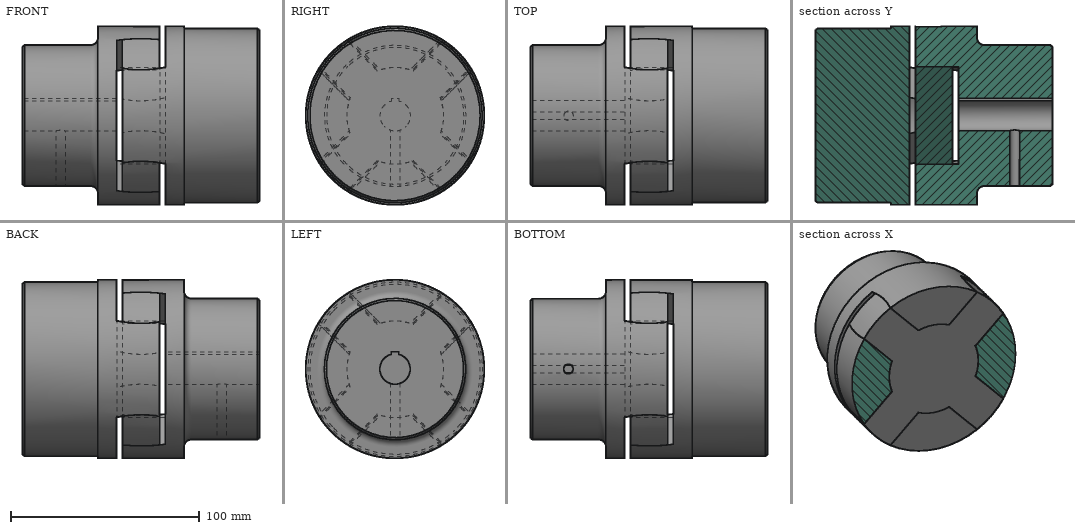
import cadquery as cq


total_length = 126
hub_length = 50.0
flange_thickness = 10.0
jaw_clearance = 3.0
left_face = hub_length
right_face = total_length - hub_length
spider_start = left_face + jaw_clearance
spider_end = right_face - jaw_clearance
middle = total_length / 2

flange_radius = 47.5
left_hub_radius = 37.5
right_hub_radius = 46.4
core_radius = 25.7
left_hub_fillet = 3.8
right_hub_fillet = 0.5
rim_chamfer = 1.1

tooth_mid_half_width = 11.7
tooth_end_half_width = 10.1
tooth_angles = (45, 135, 225, 315)

bore_radius = 8.1
key_width = 3.8
key_top = 9.1
screw_diameter = 5.0
screw_x = 20.2


def cylinder(start, end, radius):
    """Cylinder on the X axis between two X positions."""
    return cq.Workplane("YZ", origin=(start, 0, 0)).circle(radius).extrude(end - start)


def make_barrel_teeth():
    """Four radial teeth that span the whole gap between the hub faces."""
    tooth = (
        cq.Workplane("XY")
        .moveTo(left_face, -tooth_end_half_width)
        .threePointArc((middle, -tooth_mid_half_width), (right_face, -tooth_end_half_width))
        .lineTo(right_face, tooth_end_half_width)
        .threePointArc((middle, tooth_mid_half_width), (left_face, tooth_end_half_width))
        .close()
        .extrude(2 * flange_radius)
    )
    teeth = cq.Workplane("XY")
    for angle in tooth_angles:
        teeth = teeth.union(tooth.rotate((0, 0, 0), (1, 0, 0), angle))
    return teeth


def make_jaws(start, end, first_direction):
    """Two opposite jaws: ring sectors left between the spider teeth."""
    ring = cylinder(start, end, flange_radius).cut(cylinder(start, end, core_radius))
    sectors = ring.cut(make_barrel_teeth())
    return sectors.solids(f">{first_direction} or <{first_direction}")


def fillet_root(body, root_x, hub_radius, fillet_radius):
    """Round the inside corner where a hub meets its flange."""
    margin = (flange_radius - right_hub_radius) / 2
    reach = hub_radius + margin
    root_edge = cq.selectors.BoxSelector(
        (root_x - margin, -reach, -reach), (root_x + margin, reach, reach), boundingbox=True
    )
    return body.edges(root_edge).edges("%CIRCLE").fillet(fillet_radius)


def make_left_hub():
    flange_start = left_face - flange_thickness
    body = cylinder(0, flange_start, left_hub_radius).faces("<X").chamfer(rim_chamfer)
    body = body.union(cylinder(flange_start, left_face, flange_radius))
    body = fillet_root(body, flange_start, left_hub_radius, left_hub_fillet)
    for jaw in make_jaws(left_face, spider_end, "Z").vals():
        body = body.union(cq.Workplane(jaw))

    bore = cylinder(0, left_face, bore_radius)
    keyway = cq.Workplane("XY").box(left_face, key_width, key_top, centered=(False, True, False))
    screw_hole = (
        cq.Workplane("XY").center(screw_x, 0).circle(screw_diameter / 2).extrude(-flange_radius)
    )
    return body.cut(bore).cut(keyway).cut(screw_hole)


def make_right_hub():
    flange_end = right_face + flange_thickness
    body = cylinder(flange_end, total_length, right_hub_radius).faces(">X").chamfer(rim_chamfer)
    body = body.union(cylinder(right_face, flange_end, flange_radius))
    body = fillet_root(body, flange_end, right_hub_radius, right_hub_fillet)
    for jaw in make_jaws(spider_start, right_face, "Y").vals():
        body = body.union(cq.Workplane(jaw))
    return body


def make_spider():
    teeth = make_barrel_teeth().intersect(cylinder(spider_start, spider_end, flange_radius))
    return cylinder(spider_start, spider_end, core_radius).union(teeth)


left_hub = make_left_hub()
right_hub = make_right_hub()
spider = make_spider()

result = cq.Compound.makeCompound([left_hub.val(), right_hub.val(), spider.val()])